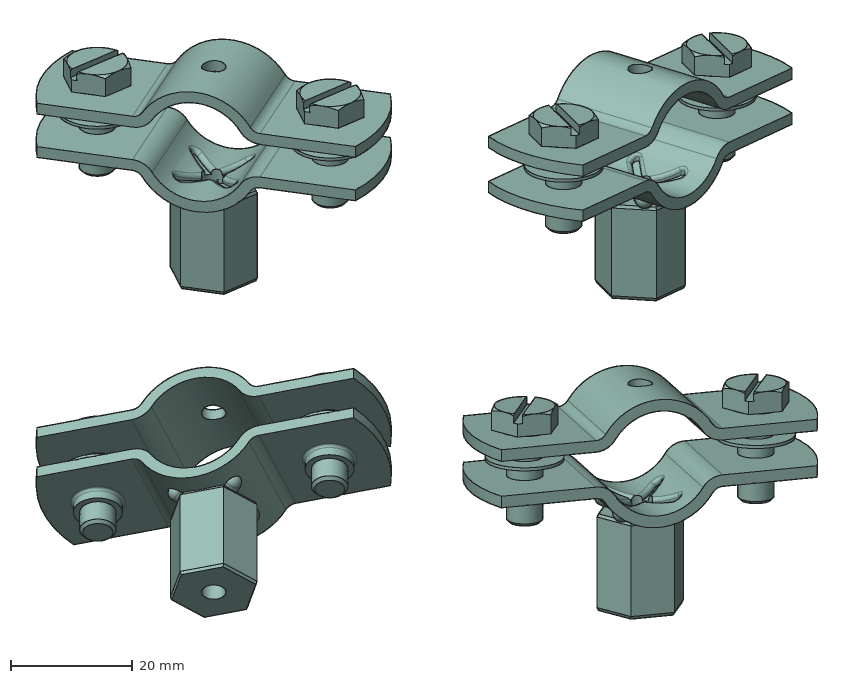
import cadquery as cq
import math


pipe_radius = 9.0
thickness = 2.0
strap_radius = pipe_radius + thickness
half_gap = 3.0
flange_outer = half_gap + thickness
strap_length = 58.9
strap_width = 20.0
end_radius = 25.0
bend_radius = 2.0
vent_diameter = 4.0

collar_diameter = 8.05
collar_height = 1.95
collar_fillet = 0.5

bead_directions = (-45, 45)
bead_half_length = 6.85
groove_floor_width = 1.2
groove_depth = 1.0
groove_rim_fillet = 0.75
bump_radius = 1.5
bump_sink = 0.3
bump_path_radius = strap_radius - bump_sink

screw_x = 20.0
shank_diameter = 6.0
shank_length = 16.0
shank_chamfer = 0.55
head_height = 4.0
head_flats = 10.0
head_chamfer_angle = 30.0
bearing_diameter = 8.85
bearing_height = 0.3
slot_width = 1.5
slot_depth = 1.5
slot_angle = 60.0

washer_diameter = 13.0
washer_thickness = 0.55

nut_flats = 13.0
nut_top = -10.9
nut_bottom = -27.55
nut_chamfer_height = 0.55
nut_chamfer_inset = 0.25

tolerance = 0.005


def across_corners(flats):
    return flats / math.cos(math.radians(30))


def z_cylinder(diameter, z_low, z_high, x=0.0):
    return (
        cq.Workplane("XY", origin=(x, 0, z_low))
        .circle(diameter / 2)
        .extrude(z_high - z_low)
    )


def strap_outline():
    """Outline of the upper strap in the XZ plane: flange, bend, arch, bend, flange."""
    bend_z = flange_outer + bend_radius
    bend_x = math.sqrt((strap_radius + bend_radius) ** 2 - bend_z**2)
    joint_angle = math.atan2(bend_z, bend_x)
    middle_angle = (joint_angle + math.pi + 3 * math.pi / 2) / 2

    def on_arch(radius):
        return radius * math.cos(joint_angle), radius * math.sin(joint_angle)

    def on_bend(radius):
        return bend_x + radius * math.cos(middle_angle), bend_z + radius * math.sin(middle_angle)

    def mirrored(point):
        return -point[0], point[1]

    inner_joint = on_arch(pipe_radius)
    outer_joint = on_arch(strap_radius)
    inner_bend = on_bend(bend_radius + thickness)
    outer_bend = on_bend(bend_radius)
    end_x = strap_length / 2
    return (
        cq.Workplane("XZ")
        .moveTo(-end_x, half_gap)
        .lineTo(-bend_x, half_gap)
        .threePointArc(mirrored(inner_bend), mirrored(inner_joint))
        .threePointArc((0, pipe_radius), inner_joint)
        .threePointArc(inner_bend, (bend_x, half_gap))
        .lineTo(end_x, half_gap)
        .lineTo(end_x, flange_outer)
        .lineTo(bend_x, flange_outer)
        .threePointArc(outer_bend, outer_joint)
        .threePointArc((0, strap_radius), mirrored(outer_joint))
        .threePointArc(mirrored(outer_bend), (-bend_x, flange_outer))
        .lineTo(-end_x, flange_outer)
        .close()
    )


def rounded_plan():
    """Prism with the bulging ends of the strap, tall enough to trim it."""
    end_x = strap_length / 2
    corner_y = strap_width / 2
    corner_x = end_x - end_radius + math.sqrt(end_radius**2 - corner_y**2)
    return (
        cq.Workplane("XY")
        .moveTo(-corner_x, -corner_y)
        .lineTo(corner_x, -corner_y)
        .threePointArc((end_x, 0), (corner_x, corner_y))
        .lineTo(-corner_x, corner_y)
        .threePointArc((-end_x, 0), (-corner_x, -corner_y))
        .close()
        .extrude(2 * strap_radius)
    )


def plain_strap():
    strap = strap_outline().extrude(strap_width / 2, both=True)
    return strap.intersect(rounded_plan())


def drill_strap(strap):
    """Cut the central hole and the two screw holes through a strap."""
    for x, diameter in ((0, vent_diameter), (-screw_x, shank_diameter), (screw_x, shank_diameter)):
        strap = strap.cut(z_cylinder(diameter, -2 * strap_radius, 2 * strap_radius, x))
    return strap


def bump(direction):
    """Round-ended tube that crosses the bottom of the lower strap and follows its curve."""
    end_x = bead_half_length * math.cos(math.radians(direction))
    end_z = -math.sqrt(bump_path_radius**2 - end_x**2)
    path = (
        cq.Workplane("XZ")
        .moveTo(-bead_half_length, end_z)
        .threePointArc((0, -bump_path_radius), (bead_half_length, end_z))
    )
    start_plane = cq.Plane(
        origin=path.val().startPoint().toTuple(),
        normal=path.val().tangentAt(0).toTuple(),
    )
    tube = cq.Workplane(start_plane).circle(bump_radius).sweep(path)
    for x in (-bead_half_length, bead_half_length):
        tube = tube.union(cq.Workplane("XY", origin=(x, 0, end_z)).sphere(bump_radius))
    return tube.rotate((0, 0, 0), (0, 0, 1), direction)


def y_cylinder(radius):
    return cq.Workplane("XZ").circle(radius).extrude(strap_width / 2, both=True)


def groove(direction):
    """Upright slot whose floor follows the round part of the strap."""
    slot = (
        cq.Workplane("XY")
        .slot2D(2 * bead_half_length + groove_floor_width, groove_floor_width, direction)
        .extrude(-2 * strap_radius)
    )
    return slot.intersect(y_cylinder(pipe_radius + groove_depth))


def is_groove_rim(edge):
    """True for the edges between a groove and the pipe side of the strap."""
    start = edge.startPoint()
    middle = edge.positionAt(0.5)
    on_pipe_side = abs(math.hypot(middle.x, middle.z) - pipe_radius) < tolerance
    beyond_hole = math.hypot(middle.x, middle.y) > vent_diameter / 2 + tolerance
    inside_sheet = abs(start.y) < strap_width / 2 - tolerance
    return on_pipe_side and beyond_hole and inside_sheet


def collar(x):
    """Collar under a flange, with a fillet where it leaves the sheet."""
    radius = collar_diameter / 2
    fillet_offset = collar_fillet * (1 - math.sqrt(0.5))
    return (
        cq.Workplane("XZ")
        .moveTo(0, -half_gap - thickness / 2)
        .lineTo(radius + collar_fillet, -half_gap - thickness / 2)
        .lineTo(radius + collar_fillet, -flange_outer)
        .threePointArc(
            (radius + fillet_offset, -flange_outer - fillet_offset),
            (radius, -flange_outer - collar_fillet),
        )
        .lineTo(radius, -flange_outer - collar_height)
        .lineTo(0, -flange_outer - collar_height)
        .close()
        .revolve(360, (0, 0, 0), (0, 1, 0))
        .translate((x, 0, 0))
    )


def make_upper_strap():
    return drill_strap(plain_strap())


def make_lower_strap():
    strap = plain_strap().mirror("XY")
    for x in (-screw_x, screw_x):
        strap = strap.union(collar(x))
    for direction in bead_directions:
        strap = strap.union(bump(direction).cut(y_cylinder(pipe_radius)))
    for direction in bead_directions:
        strap = strap.cut(groove(direction))
    strap = drill_strap(strap)
    return strap.edges().filter(is_groove_rim).fillet(groove_rim_fillet)


def make_screw(x):
    """Slotted hexagon-head screw standing on the upper strap."""
    head_low = flange_outer + bearing_height
    head_top = flange_outer + head_height
    corners = across_corners(head_flats)
    head = cq.Workplane("XY", origin=(0, 0, head_low)).polygon(6, corners).extrude(head_top - head_low)

    chamfer_drop = (corners - head_flats) / 2 * math.tan(math.radians(head_chamfer_angle))
    turned = (
        cq.Workplane("XZ")
        .moveTo(0, head_low)
        .lineTo(corners / 2, head_low)
        .lineTo(corners / 2, head_top - chamfer_drop)
        .lineTo(head_flats / 2, head_top)
        .lineTo(0, head_top)
        .close()
        .revolve(360, (0, 0, 0), (0, 1, 0))
    )
    head = head.intersect(turned)

    slot = (
        cq.Workplane("XY", origin=(0, 0, head_top - slot_depth))
        .rect(2 * corners, slot_width)
        .extrude(2 * slot_depth)
        .rotate((0, 0, 0), (0, 0, 1), slot_angle)
    )
    bearing = z_cylinder(bearing_diameter, flange_outer, head_low)
    shank = z_cylinder(shank_diameter, flange_outer - shank_length, flange_outer)
    shank = shank.faces("<Z").chamfer(shank_chamfer)
    return head.cut(slot).union(bearing).union(shank).translate((x, 0, 0))


def make_washer(x):
    """Retaining washer held on the shank midway between the flanges."""
    disc = z_cylinder(washer_diameter, -washer_thickness / 2, washer_thickness / 2, x)
    return disc.cut(z_cylinder(shank_diameter, -washer_thickness, washer_thickness, x))


def make_nut(strap):
    """Hexagonal nut under the lower strap, with a seat that matches the strap and its bumps."""
    corners = across_corners(nut_flats)
    taper = math.degrees(math.atan(nut_chamfer_inset / nut_chamfer_height))
    straight_top = nut_top - nut_chamfer_height
    straight_bottom = nut_bottom + nut_chamfer_height

    def hexagon(z):
        return cq.Workplane("XY", origin=(0, 0, z)).polygon(6, corners)

    nut = (
        hexagon(straight_bottom)
        .extrude(straight_top - straight_bottom)
        .union(hexagon(straight_top).extrude(nut_chamfer_height, taper=taper))
        .union(hexagon(straight_bottom).extrude(-nut_chamfer_height, taper=taper))
    )
    nut = nut.cut(z_cylinder(vent_diameter, nut_bottom, nut_top))
    return nut.cut(strap)


upper_strap = make_upper_strap()
lower_strap = make_lower_strap()
nut = make_nut(lower_strap)
screws = [make_screw(x) for x in (-screw_x, screw_x)]
washers = [make_washer(x) for x in (-screw_x, screw_x)]

result = cq.Compound.makeCompound(
    [upper_strap.val(), lower_strap.val(), nut.val()]
    + [screw.val() for screw in screws]
    + [washer.val() for washer in washers]
)